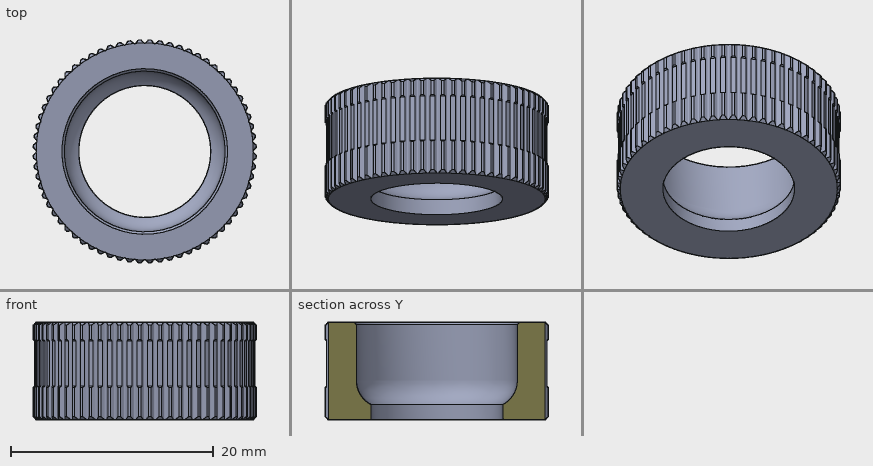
import cadquery as cq
import math

outer_radius = 11.02
height = 9.65

bore_radius = 7.93
bore_chamfer = 0.25
bore_depth = 5.77
hole_radius = 6.5
hole_height = 1.52

waist_depth = 0.121
waist_bottom = 3.33
waist_top = 7.8

groove_count = 68
groove_depth = 0.33
root_radius = 0.13
rim_chamfer = 0.3


def ring_body():
    """Revolve the half section of the ring, without the knurling."""
    waist_radius = outer_radius - waist_depth
    rim_radius = outer_radius - rim_chamfer

    seat_start = height - bore_depth
    seat_width = bore_radius - hole_radius
    seat_drop = seat_start - hole_height
    seat_radius = (seat_width**2 + seat_drop**2) / (2 * seat_width)
    half_sweep = math.asin(seat_drop / seat_radius) / 2
    seat_middle = (
        bore_radius - seat_radius * (1 - math.cos(half_sweep)),
        seat_start - seat_radius * math.sin(half_sweep),
    )

    section = (
        cq.Workplane("XZ")
        .moveTo(hole_radius, 0)
        .lineTo(rim_radius, 0)
        .lineTo(outer_radius, rim_chamfer)
        .lineTo(outer_radius, waist_bottom - waist_depth)
        .lineTo(waist_radius, waist_bottom)
        .lineTo(waist_radius, waist_top)
        .lineTo(outer_radius, waist_top + waist_depth)
        .lineTo(outer_radius, height - rim_chamfer)
        .lineTo(rim_radius, height)
        .lineTo(bore_radius + bore_chamfer, height)
        .lineTo(bore_radius, height - bore_chamfer)
        .lineTo(bore_radius, seat_start)
        .threePointArc(seat_middle, (hole_radius, hole_height))
        .close()
    )
    return section.revolve(360, (0, 0, 0), (0, 1, 0))


def groove_cutter():
    """One full-height groove along +X, running out past the tooth tips."""
    floor_radius = outer_radius - groove_depth
    root_half_width = root_radius * math.sin(math.radians(45))
    root_edge = floor_radius + root_radius - root_half_width
    mouth = outer_radius + groove_depth
    mouth_half_width = root_half_width + mouth - root_edge
    return (
        cq.Workplane("XY")
        .moveTo(mouth, -mouth_half_width)
        .lineTo(root_edge, -root_half_width)
        .threePointArc((floor_radius, 0), (root_edge, root_half_width))
        .lineTo(mouth, mouth_half_width)
        .close()
        .extrude(height)
    )


def knurling():
    """All grooves, evenly spaced around the ring."""
    cutter = groove_cutter().val()
    pitch = 360 / groove_count
    origin = cq.Vector(0, 0, 0)
    axis = cq.Vector(0, 0, 1)
    return [cutter.rotate(origin, axis, index * pitch) for index in range(groove_count)]


result = cq.Workplane(obj=ring_body().val().cut(*knurling()))